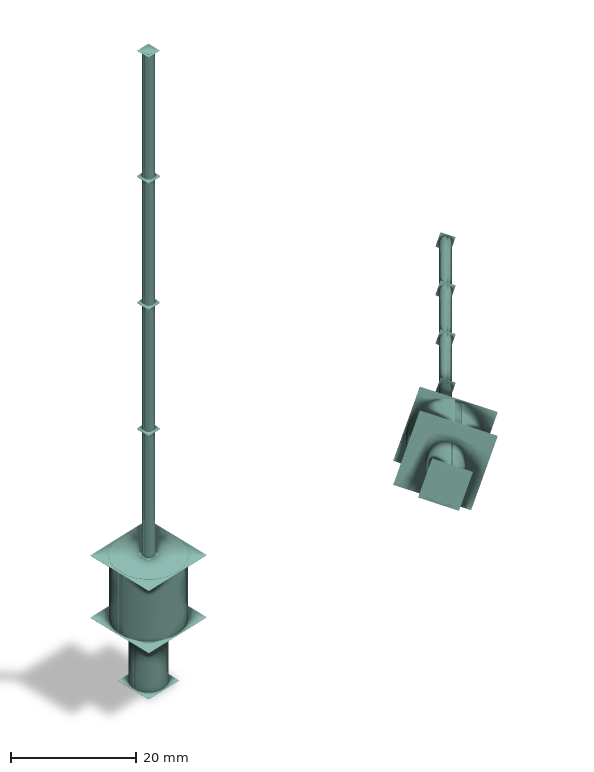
import cadquery as cq

large_diameter = 12.6
small_diameter = 6.4
rod_diameter = 2.0
base_length = 12.8
rod_length = 25.5
rod_count = 4
flange_overhang = 0.3
flange_thickness = 0.06
flange_inset = 0.06
groove_depth = 0.1

large_groove_width = 1.0
small_groove_width = 0.4
rod_groove_width = 0.4


def flanged_cylinder(diameter, length, groove_width, bottom):
    """Upright cylinder with a thin square flange near each end and a groove along its -Y side."""
    body = cq.Workplane("XY").workplane(offset=bottom).circle(diameter / 2).extrude(length)

    groove = (
        cq.Workplane("XY")
        .workplane(offset=bottom)
        .center(0, -diameter / 2)
        .rect(groove_width, 2 * groove_depth)
        .extrude(length)
    )
    body = body.cut(groove)

    flange_side = diameter + 2 * flange_overhang
    lower_flange = bottom + flange_inset
    upper_flange = bottom + length - flange_inset - flange_thickness
    for flange_bottom in (lower_flange, upper_flange):
        flange = (
            cq.Workplane("XY")
            .workplane(offset=flange_bottom)
            .rect(flange_side, flange_side)
            .extrude(flange_thickness)
        )
        body = body.union(flange)
    return body


small_cylinder = flanged_cylinder(small_diameter, base_length, small_groove_width, 0)
large_cylinder = flanged_cylinder(large_diameter, base_length, large_groove_width, base_length)

rod_bottom = 2 * base_length
rod_segments = [
    flanged_cylinder(rod_diameter, rod_length, rod_groove_width, rod_bottom + index * rod_length)
    for index in range(rod_count)
]

result = cq.Compound.makeCompound(
    [small_cylinder.val(), large_cylinder.val(), *[segment.val() for segment in rod_segments]]
)